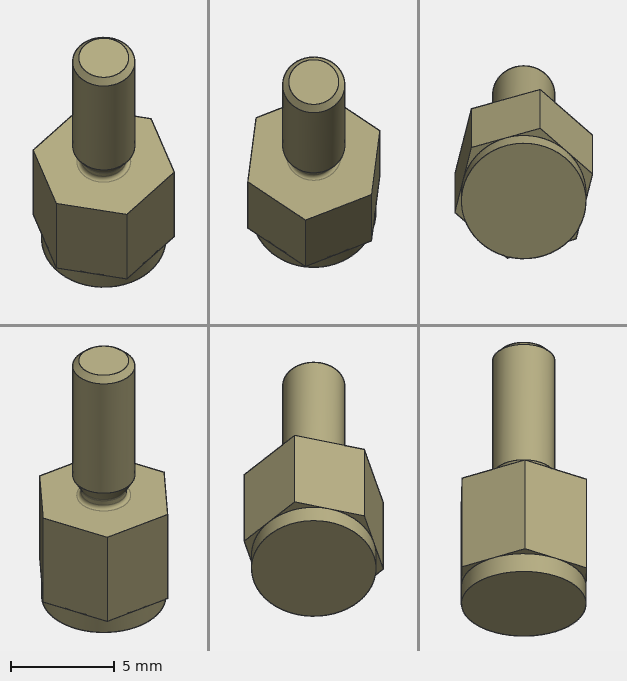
import cadquery as cq
import math

total_height = 14.0

hex_sides = 6
across_flats = 6.0
across_corners = across_flats / math.cos(math.pi / hex_sides)
collar_height = 1.0
hex_height = 5.0
shoulder_z = collar_height + hex_height

stud_diameter = 3.0
stud_radius = stud_diameter / 2
tip_chamfer = 0.3

neck_diameter = 2.2
neck_radius = neck_diameter / 2
undercut_height = 1.2
blend_radius = 0.2
cone_angle = math.radians(30)


def make_body():
    """Collar and hexagon, with two flats facing -Y and +Y."""
    collar = cq.Workplane("XY").circle(across_flats / 2).extrude(collar_height)
    hexagon = (
        cq.Workplane("XY")
        .workplane(offset=collar_height)
        .polygon(hex_sides, across_corners)
        .extrude(hex_height)
    )
    return collar.union(hexagon)


def blend_point(center_z, angle):
    """Point on a neck blend arc, at a signed angle above its horizontal tangent point."""
    radius = neck_radius + blend_radius * (1 - math.cos(angle))
    return radius, center_z + blend_radius * math.sin(angle)


def make_stud():
    """Revolved stud with a filleted undercut, a conical run-out and a chamfered tip."""
    base_blend_z = shoulder_z + blend_radius
    base_blend_middle = blend_point(base_blend_z, math.radians(-45))

    cone_top_z = shoulder_z + undercut_height
    cone_bottom_radius = neck_radius + blend_radius * (1 - math.cos(cone_angle))
    cone_height = (stud_radius - cone_bottom_radius) / math.tan(cone_angle)
    cone_blend_z = cone_top_z - cone_height - blend_radius * math.sin(cone_angle)

    profile = (
        cq.Workplane("XZ")
        .moveTo(0, shoulder_z)
        .lineTo(neck_radius + blend_radius, shoulder_z)
        .threePointArc(base_blend_middle, (neck_radius, base_blend_z))
        .lineTo(neck_radius, cone_blend_z)
        .threePointArc(
            blend_point(cone_blend_z, cone_angle / 2),
            blend_point(cone_blend_z, cone_angle),
        )
        .lineTo(stud_radius, cone_top_z)
        .lineTo(stud_radius, total_height - tip_chamfer)
        .lineTo(stud_radius - tip_chamfer, total_height)
        .lineTo(0, total_height)
        .close()
    )
    return profile.revolve(360, (0, 0, 0), (0, 1, 0))


result = make_body().union(make_stud())